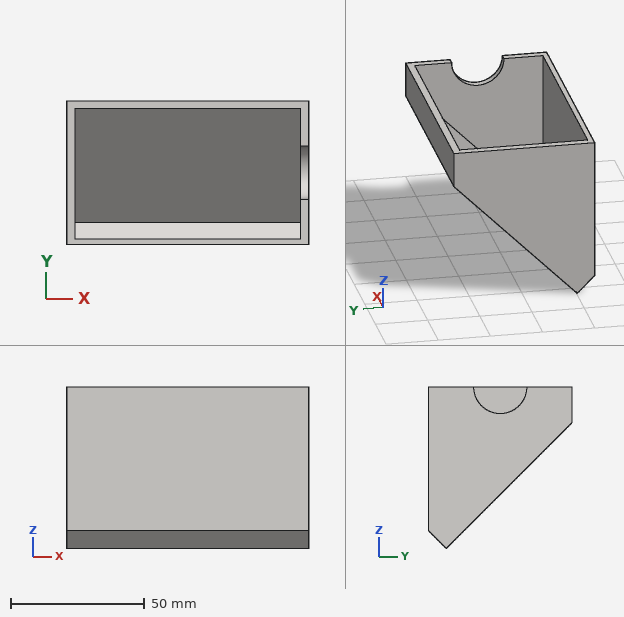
import cadquery as cq
import math

length = 90.9
depth = 54.0
height = 60.7

keel_setback = 6.7
front_height = height - keel_setback
back_height = height - (depth - keel_setback)

end_wall = 3.2
back_wall = 2.8
front_wall = 2.1
floor_wall = 3.2
front_slope_wall = 5.4

notch_radius = 10.0


def prism(profile, start_x, span):
    """Extrude a (Y, Z) outline along X."""
    return cq.Workplane("YZ", origin=(start_x, 0, 0)).polyline(profile).close().extrude(span)


body = prism(
    [
        (0, height),
        (depth, height),
        (depth, height - back_height),
        (keel_setback, 0),
        (0, height - front_height),
    ],
    0,
    length,
)

floor_rise = floor_wall * math.sqrt(2)
front_slope_rise = front_slope_wall * math.sqrt(2)
cavity_back = depth - back_wall
crease_y = keel_setback + (front_slope_rise - floor_rise) / 2
crease_z = crease_y - keel_setback + floor_rise
cavity = prism(
    [
        (front_wall, height),
        (cavity_back, height),
        (cavity_back, cavity_back - keel_setback + floor_rise),
        (crease_y, crease_z),
        (front_wall, keel_setback - front_wall + front_slope_rise),
    ],
    end_wall,
    length - 2 * end_wall,
)

notch = (
    cq.Workplane("YZ", origin=(length - end_wall, depth / 2, height))
    .circle(notch_radius)
    .extrude(end_wall)
)

result = body.cut(cavity).cut(notch)